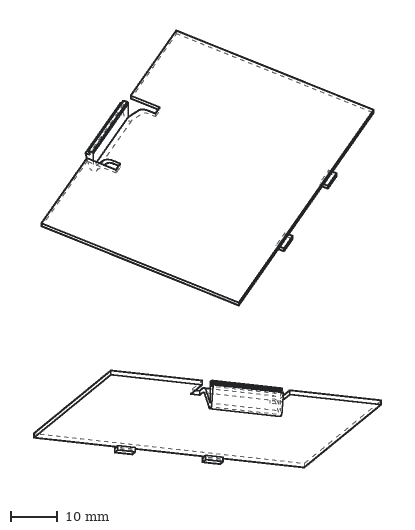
import cadquery as cq
import math

overall_length = 50.2
plate_width = 61.6
thickness = 1.0
plate_left = 1.4
tab_overhang = 1.0
plate_right = overall_length - tab_overhang

latch_width = 16.0
notch_width = 19.95
notch_depth = 7.0

tab_length = 2.0
tab_width = 4.0
tab_center_y = (latch_width + tab_width) / 2

bend_x = 6.7
bend_radius = 2.9
bend_angle = math.radians(60)
strip_angle = math.radians(54.5)
inner_radius = bend_radius - thickness

leg_inner_x = 1.9
lip_left_x = 0.7
lip_peak_x = 1.65
lip_side_z = -0.25
lip_top = 0.1
lip_root_x = 1.0
lip_root_z = -0.5
ledge_z = -1.2
tip_z = -6.0
tip_x = 1.8
leg_foot_x = 0.85
leg_foot_z = -5.1
strip_foot_x = 2.7


def bend_point(radius, angle):
    """Point on a bend arc, with the angle measured from vertical toward -X."""
    return (
        bend_x - radius * math.sin(angle),
        -bend_radius + radius * math.cos(angle),
    )


def strip_z(start, x):
    """Height at x of the straight strip face passing through start."""
    return start[1] - (start[0] - x) * math.tan(strip_angle)


def make_plate():
    length = plate_right - plate_left
    plate = cq.Workplane("XY").box(length, plate_width, thickness, centered=(False, True, False))
    notch = cq.Workplane("XY").box(notch_depth, notch_width, thickness, centered=(False, True, False))
    return plate.cut(notch).translate((plate_left, 0, -thickness))


def make_bridge():
    """Flat tongue that joins the bend to the end of the notch."""
    length = plate_left + notch_depth - bend_x
    bridge = cq.Workplane("XY").box(length, latch_width, thickness, centered=(False, True, False))
    return bridge.translate((bend_x, 0, -thickness))


def make_latch():
    upper_end = bend_point(bend_radius, bend_angle)
    lower_end = bend_point(inner_radius, bend_angle)
    profile = (
        cq.Workplane("XZ")
        .moveTo(bend_x, 0)
        .threePointArc(bend_point(bend_radius, bend_angle / 2), upper_end)
        .lineTo(leg_inner_x, strip_z(upper_end, leg_inner_x))
        .lineTo(leg_inner_x, lip_side_z)
        .lineTo(lip_peak_x, lip_top)
        .lineTo(lip_left_x, 0)
        .lineTo(lip_left_x, lip_side_z)
        .lineTo(lip_root_x, lip_root_z)
        .lineTo(lip_root_x, ledge_z)
        .lineTo(0, ledge_z)
        .lineTo(leg_foot_x, leg_foot_z)
        .threePointArc((tip_x, tip_z), (strip_foot_x, strip_z(lower_end, strip_foot_x)))
        .lineTo(*lower_end)
        .threePointArc(bend_point(inner_radius, bend_angle / 2), (bend_x, -thickness))
        .close()
    )
    return profile.extrude(latch_width / 2, both=True)


def make_tab(center_y):
    tab = cq.Workplane("XY").box(tab_length, tab_width, thickness, centered=(False, True, False))
    return tab.translate((overall_length - tab_length, center_y, -2 * thickness))


result = make_plate().union(make_bridge()).union(make_latch())
for side in (-1, 1):
    result = result.union(make_tab(side * tab_center_y))